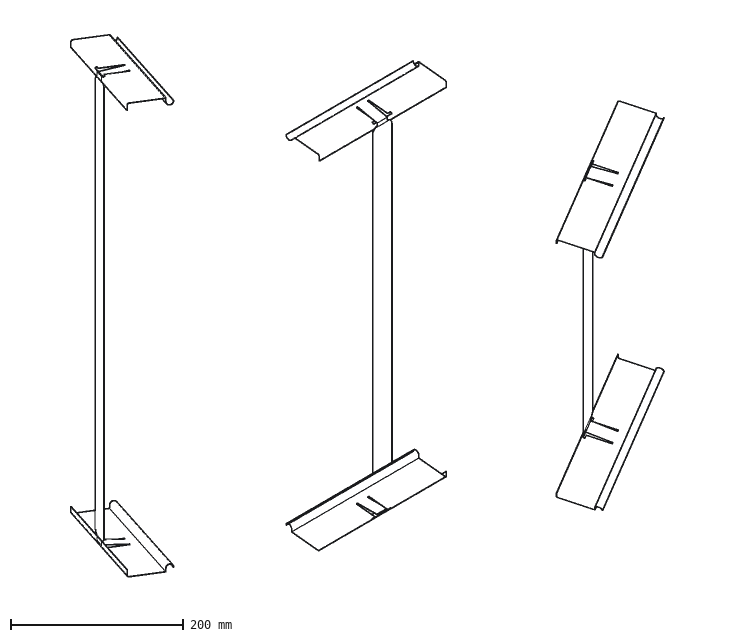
import cadquery as cq
import math

height = 598.0
rail_length = 200.0
rail_depth = 58.0
sheet = 0.9

lip_drop = 9.5
bend_radius = 3.0
hook_radius = 5.2
hook_center_drop = 5.0
hook_center_y = rail_depth - hook_radius
web_front_y = hook_center_y - hook_radius

strip_width = 30.5
strip_corner_radius = 9.0
strip_end_drop = 8.5
tab_width = 16.0
tab_root_y = 33.5
tab_front_drop = 3.5

slot_width = 2.0
slot_end_y = 35.0
bend_notch_width = 29.0
bend_notch_drop = 2.0


def make_rail():
    """Top rail, extruded along X from its bent-sheet section."""
    top = height
    inner_bend = bend_radius - sheet
    inner_hook = hook_radius - sheet
    hook_z = top - hook_center_drop
    diagonal = math.sqrt(0.5)
    bend_z = top - bend_radius
    section = (
        cq.Workplane("YZ", origin=(-rail_length / 2, 0, 0))
        .moveTo(0, top - lip_drop)
        .lineTo(0, bend_z)
        .threePointArc(
            (bend_radius * (1 - diagonal), bend_z + bend_radius * diagonal),
            (bend_radius, top),
        )
        .lineTo(web_front_y + sheet, top)
        .lineTo(web_front_y + sheet, hook_z)
        .threePointArc((hook_center_y, hook_z - inner_hook), (rail_depth - sheet, hook_z))
        .lineTo(rail_depth, hook_z)
        .threePointArc((hook_center_y, hook_z - hook_radius), (web_front_y, hook_z))
        .lineTo(web_front_y, top - sheet)
        .lineTo(bend_radius, top - sheet)
        .threePointArc(
            (bend_radius - inner_bend * diagonal, bend_z + inner_bend * diagonal),
            (sheet, bend_z),
        )
        .lineTo(sheet, top - lip_drop)
        .close()
    )
    return section.extrude(rail_length)


def box(width, y_start, y_end, z_start, z_end):
    """Box centred on X between the given Y and Z limits."""
    block = cq.Workplane("XY").box(
        width, y_end - y_start, z_end - z_start, centered=(True, False, False)
    )
    return block.translate((0, y_start, z_start))


def cut_relief(rail):
    """Open the flange around the tab and notch the front bend."""
    flange_bottom = height - sheet
    opening = box(tab_width + 2 * slot_width, 0, slot_end_y, flange_bottom, height)
    notch = box(bend_notch_width, 0, bend_radius, height - bend_notch_drop, height)
    return rail.cut(opening).cut(notch)


def make_tab():
    """Sloping tongue from the flange to the strip, with its vertical neck."""
    back = 2 * sheet
    front_z = height - tab_front_drop
    neck_bottom = height - strip_end_drop - strip_corner_radius
    return (
        cq.Workplane("YZ", origin=(-tab_width / 2, 0, 0))
        .moveTo(slot_end_y, height)
        .lineTo(tab_root_y, height)
        .lineTo(sheet, front_z)
        .lineTo(sheet, neck_bottom)
        .lineTo(back, neck_bottom)
        .lineTo(back, front_z - sheet)
        .lineTo(tab_root_y, height - sheet)
        .lineTo(slot_end_y, height - sheet)
        .close()
        .extrude(tab_width)
    )


def make_strip():
    """Flat upright with rounded ends, standing behind the two front lips."""
    strip = box(strip_width, sheet, 2 * sheet, strip_end_drop, height - strip_end_drop)
    return strip.edges("|Y").fillet(strip_corner_radius)


top_end = cut_relief(make_rail()).union(make_tab())
bottom_end = top_end.mirror("XY", (0, 0, height / 2))
result = make_strip().union(top_end).union(bottom_end)